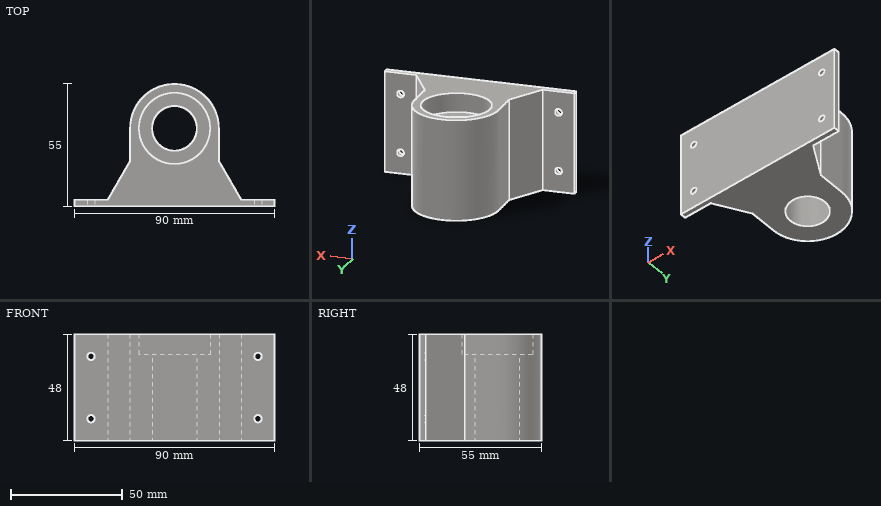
import cadquery as cq
import math

plate_length = 90.0
plate_thickness = 3.0
height = 48.0

housing_radius = 20.0
axis_distance = 35.0
bore_diameter = 20.0
seat_diameter = 32.0
seat_depth = 9.0

foot_half_width = 30.0
flank_angle = 60.0
flank_rise = (foot_half_width - housing_radius) * math.tan(math.radians(flank_angle))
shoulder_y = plate_thickness + flank_rise

screw_diameter = 3.2
screw_end_margin = 7.5
screw_edge_margin = 10.0
screw_spacing_x = plate_length - 2 * screw_end_margin
screw_spacing_z = height - 2 * screw_edge_margin


def make_plate():
    return cq.Workplane("XY").box(
        plate_length, plate_thickness, height, centered=(True, False, False)
    )


def make_housing():
    """Round-topped block with flared feet, extruded over the full height."""
    return (
        cq.Workplane("XY")
        .moveTo(-foot_half_width, 0)
        .lineTo(foot_half_width, 0)
        .lineTo(foot_half_width, plate_thickness)
        .lineTo(housing_radius, shoulder_y)
        .lineTo(housing_radius, axis_distance)
        .threePointArc((0, axis_distance + housing_radius), (-housing_radius, axis_distance))
        .lineTo(-housing_radius, shoulder_y)
        .lineTo(-foot_half_width, plate_thickness)
        .close()
        .extrude(height)
    )


def cut_bearing_bore(body):
    """Through bore with a bearing seat sunk into the top face."""
    return (
        body.faces(">Z")
        .workplane(origin=(0, axis_distance, height))
        .cboreHole(bore_diameter, seat_diameter, seat_depth)
    )


def cut_screw_holes(body):
    """Four screw holes along Y, only as deep as the plate."""
    screws = (
        cq.Workplane("XZ", origin=(0, 0, height / 2))
        .rarray(screw_spacing_x, screw_spacing_z, 2, 2)
        .circle(screw_diameter / 2)
        .extrude(-plate_thickness)
    )
    return body.cut(screws)


body = make_plate().union(make_housing())
body = cut_bearing_bore(body)
result = cut_screw_holes(body)